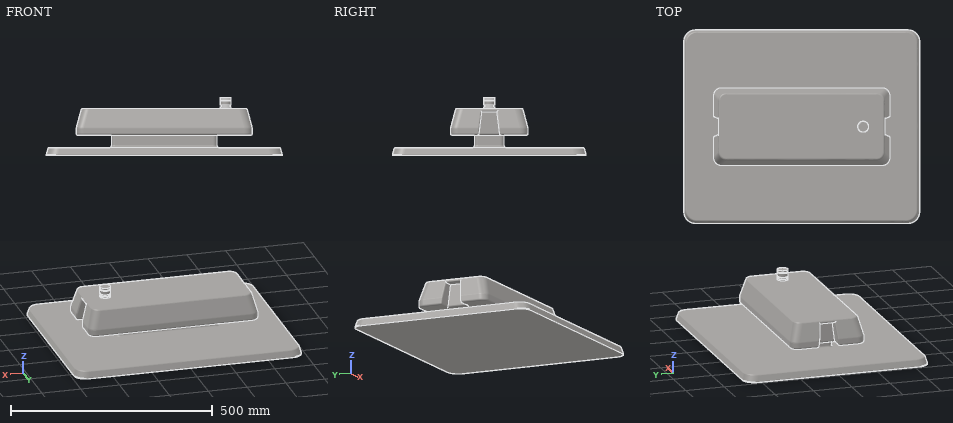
import cadquery as cq
import math

plate_length = 585.0
plate_width = 480.0
plate_thickness = 20.0
plate_lip_height = 2.5
plate_corner_radius = 30.0
plate_top_round = 4.5

neck_length = 262.0
neck_width = 73.5
neck_corner_radius = 10.0
neck_foot_round = 6.0

housing_length = 437.0
housing_width = 192.5
housing_bottom_z = 50.5
rim_top_z = 68.0
housing_top_z = 117.0
housing_corner_radius = 20.0
housing_top_round = 5.0
rim_bottom_round = 4.5
rim_top_round = 9.0

side_draft = 15.0

notch_depth = 35.0
notch_half_width_bottom = 26.0
notch_half_width_top = 19.0
notch_ceiling_z = 107.5
notch_mouth_round = 3.5
notch_mouth_run = 13.0

pin_x = 152.0
pin_diameter = 27.5
pin_top_z = 143.5
lower_groove_bottom_z = 120.5
lower_groove_top_z = 125.0
lower_groove_depth = 2.5
upper_groove_bottom_z = 135.5
upper_groove_top_z = 138.0
upper_groove_depth = 0.5

selection_margin = 0.5


def edges_within(low, high):
    """Selector for the edges that lie wholly inside a box, grown by a small margin."""
    return cq.selectors.BoxSelector(
        tuple(value - selection_margin for value in low),
        tuple(value + selection_margin for value in high),
        boundingbox=True,
    )


def rounded_rectangle(length, width, corner_radius):
    return cq.Sketch().rect(length, width).vertices().fillet(corner_radius)


def drafted_block(length, width, bottom_z, break_z, top_z, corner_radius):
    """Block with upright sides up to break_z, drafted sides above and constant-radius corners."""
    foot_outline = rounded_rectangle(length, width, corner_radius)
    draft_height = top_z - break_z
    draft_run = draft_height * math.tan(math.radians(side_draft))
    top_outline = rounded_rectangle(length - 2 * draft_run, width - 2 * draft_run, corner_radius)
    upright = (
        cq.Workplane("XY", origin=(0, 0, bottom_z))
        .placeSketch(foot_outline)
        .extrude(break_z - bottom_z)
    )
    drafted = (
        cq.Workplane("XY", origin=(0, 0, break_z))
        .placeSketch(foot_outline, top_outline.moved(cq.Location(cq.Vector(0, 0, draft_height))))
        .loft(ruled=True)
    )
    return upright.union(drafted)


def base_plate():
    plate = drafted_block(
        plate_length, plate_width, 0, plate_lip_height, plate_thickness, plate_corner_radius
    )
    return plate.faces(">Z").edges().fillet(plate_top_round)


def neck():
    return (
        cq.Workplane("XY", origin=(0, 0, plate_thickness))
        .rect(neck_length, neck_width)
        .extrude(housing_bottom_z - plate_thickness)
        .edges("|Z")
        .fillet(neck_corner_radius)
    )


def stand():
    """Base plate and neck, joined by a round at the foot of the neck."""
    foot_edges = edges_within(
        (-neck_length / 2, -neck_width / 2, plate_thickness),
        (neck_length / 2, neck_width / 2, plate_thickness),
    )
    return base_plate().union(neck()).edges(foot_edges).fillet(neck_foot_round)


def notch_cutter():
    """Upward-narrowing trapezoid run inward from the left end, open at the bottom."""
    return (
        cq.Workplane("YZ", origin=(-housing_length / 2, 0, 0))
        .polyline(
            [
                (-notch_half_width_bottom, housing_bottom_z),
                (notch_half_width_bottom, housing_bottom_z),
                (notch_half_width_top, notch_ceiling_z),
                (-notch_half_width_top, notch_ceiling_z),
            ]
        )
        .close()
        .extrude(notch_depth)
    )


def housing():
    body = drafted_block(
        housing_length, housing_width, housing_bottom_z, rim_top_z, housing_top_z, housing_corner_radius
    )
    body = body.faces(">Z").edges().fillet(housing_top_round)
    rim_top_edges = edges_within(
        (-housing_length / 2, -housing_width / 2, rim_top_z),
        (housing_length / 2, housing_width / 2, rim_top_z),
    )
    body = body.edges(rim_top_edges).fillet(rim_top_round)

    left_notch = notch_cutter()
    body = body.cut(left_notch).cut(left_notch.mirror("YZ"))

    end_x = housing_length / 2
    for inner_x, outer_x in ((notch_mouth_run - end_x, -end_x), (end_x - notch_mouth_run, end_x)):
        mouth_edges = edges_within(
            (min(inner_x, outer_x), -notch_half_width_bottom, housing_bottom_z),
            (max(inner_x, outer_x), notch_half_width_bottom, notch_ceiling_z),
        )
        body = body.edges(mouth_edges).fillet(notch_mouth_round)

    return body.faces("<Z").edges().fillet(rim_bottom_round)


def pin():
    """Round pin with two ring grooves."""
    pin_radius = pin_diameter / 2
    body = (
        cq.Workplane("XY", origin=(pin_x, 0, housing_top_z))
        .circle(pin_radius)
        .extrude(pin_top_z - housing_top_z)
    )
    grooves = (
        (lower_groove_bottom_z, lower_groove_top_z, lower_groove_depth),
        (upper_groove_bottom_z, upper_groove_top_z, upper_groove_depth),
    )
    for bottom_z, top_z, depth in grooves:
        ring = (
            cq.Workplane("XY", origin=(pin_x, 0, bottom_z))
            .circle(pin_radius)
            .circle(pin_radius - depth)
            .extrude(top_z - bottom_z)
        )
        body = body.cut(ring)
    return body


result = stand().union(housing()).union(pin())